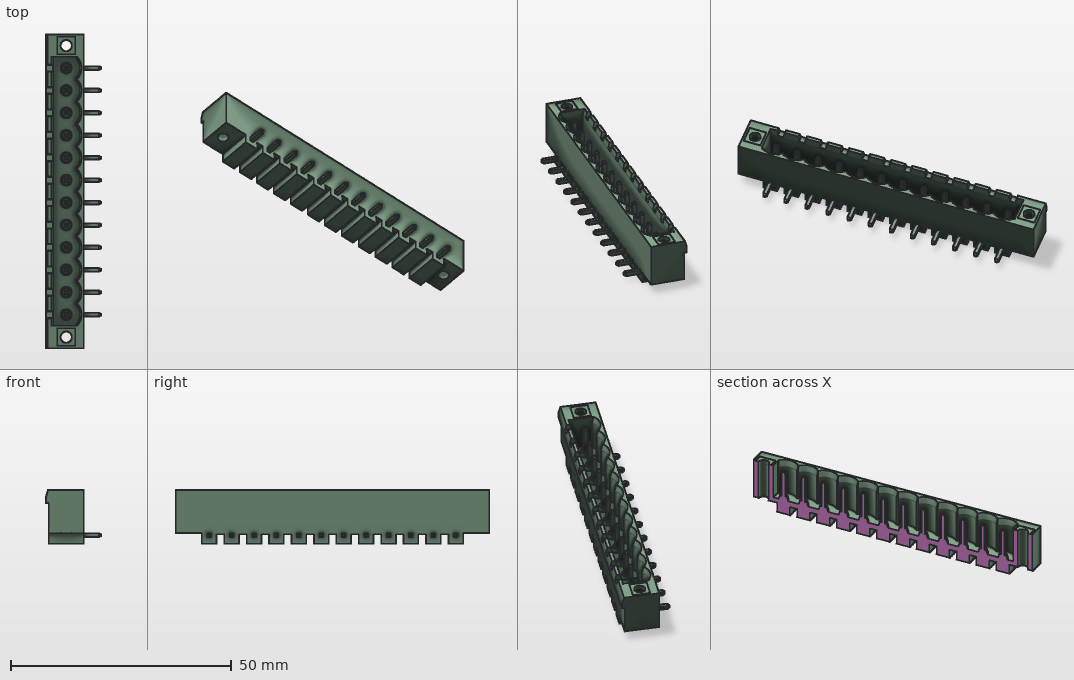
import cadquery as cq

pitch = 5.08
pin_count = 12
end_pitches = 1.5
end_margin = end_pitches * pitch
length = (pin_count - 1) * pitch + 2 * end_margin
pin_positions = [(i - (pin_count - 1) / 2) * pitch for i in range(pin_count)]

height = 12.2
body_depth = 8.0
lip_overhang = 0.6
lip_height = 3.0
lip_chamfer_width = 0.45
lip_chamfer_height = 1.5
back_x = lip_overhang + body_depth
axis_x = 4.6

end_underside_z = 2.4
foot_width = 3.4
foot_gap_roof_z = 2.15
foot_gap = pitch - foot_width

floor_z = 3.7
wall_x = 1.65
rib_offset = 2.05
rib_x = axis_x + rib_offset
socket_radius = 3.1
lead_in_width = 0.4
lead_in_height = 1.5
cavity_length = pin_count * pitch

notch_top_width = 1.75
notch_floor_width = 1.35
notch_depth = 1.3

pin_size = 0.9
pin_z = 1.95
pin_top_recess = 1.0
pin_top_z = height - pin_top_recess
pin_tip_length = 0.5
pin_tip_size = 0.4
pin_end_x = 12.5
collar_base_diameter = 2.5
collar_top_diameter = 1.9
collar_height = 1.0

screw_diameter = 2.5
screw_y = length / 2 - pitch / 2
screw_pad_size = 4.0
screw_pad_depth = 0.1


def make_housing():
    lip_z = height - lip_height
    profile = [
        (lip_overhang, 0),
        (back_x, 0),
        (back_x, height),
        (lip_chamfer_width, height),
        (0, height - lip_chamfer_height),
        (0, lip_z),
        (lip_overhang, lip_z),
    ]
    return cq.Workplane("XZ").polyline(profile).close().extrude(length / 2, both=True)


def box(x_min, x_max, y_center, y_size, z_min, z_max):
    size = (x_max - x_min, y_size, z_max - z_min)
    center = ((x_min + x_max) / 2, y_center, (z_min + z_max) / 2)
    return cq.Workplane("XY").box(*size).translate(center)


def cut_feet(body):
    feet_length = (pin_count - 1) * pitch + foot_width
    end_length = (length - feet_length) / 2
    for side in (-1, 1):
        y = side * (length - end_length) / 2
        body = body.cut(box(0, back_x, y, end_length, 0, end_underside_z))
    for pin_y in pin_positions[:-1]:
        body = body.cut(box(0, back_x, pin_y + pitch / 2, foot_gap, 0, foot_gap_roof_z))
    return body


def make_cavity():
    channel_profile = [
        (wall_x, floor_z),
        (rib_x, floor_z),
        (rib_x, height - lead_in_height),
        (rib_x + lead_in_width, height),
        (wall_x - lead_in_width, height),
        (wall_x, height - lead_in_height),
    ]
    cavity = cq.Workplane("XZ").polyline(channel_profile).close().extrude(cavity_length / 2, both=True)
    socket_profile = [
        (0, floor_z),
        (socket_radius, floor_z),
        (socket_radius, height - lead_in_height),
        (socket_radius + lead_in_width, height),
        (0, height),
    ]
    socket = cq.Workplane("XZ").polyline(socket_profile).close().revolve(360, (0, 0), (0, 1))
    socket = socket.intersect(box(0, back_x, 0, pitch, 0, height))
    for pin_y in pin_positions:
        cavity = cavity.union(socket.translate((axis_x, pin_y, 0)))
    return cavity


def make_notch():
    profile = [
        (-notch_floor_width / 2, height - notch_depth),
        (notch_floor_width / 2, height - notch_depth),
        (notch_top_width / 2, height),
        (-notch_top_width / 2, height),
    ]
    return cq.Workplane("YZ").polyline(profile).close().extrude(axis_x)


def make_collar():
    return (
        cq.Workplane("XY", origin=(axis_x, 0, floor_z))
        .circle(collar_base_diameter / 2)
        .workplane(offset=collar_height)
        .circle(collar_top_diameter / 2)
        .loft()
    )


def tapered_tip(plane):
    return (
        plane.rect(pin_size, pin_size)
        .workplane(offset=pin_tip_length)
        .rect(pin_tip_size, pin_tip_size)
        .loft()
    )


def make_pin():
    half = pin_size / 2
    shank_top_z = pin_top_z - pin_tip_length
    shank_end_x = pin_end_x - pin_tip_length
    upright = box(axis_x - half, axis_x + half, 0, pin_size, pin_z - half, shank_top_z)
    tail = box(axis_x - half, shank_end_x, 0, pin_size, pin_z - half, pin_z + half)
    top_tip = tapered_tip(cq.Workplane("XY", origin=(axis_x, 0, shank_top_z)))
    tail_tip = tapered_tip(cq.Workplane("YZ", origin=(shank_end_x, 0, pin_z)))
    return upright.union(tail).union(top_tip).union(tail_tip)


def cut_screw_flange(body, y):
    pad_floor_z = height - screw_pad_depth
    half = screw_pad_size / 2
    body = body.cut(box(axis_x - half, axis_x + half, y, screw_pad_size, pad_floor_z, height))
    hole = cq.Workplane("XY").center(axis_x, y).circle(screw_diameter / 2).extrude(height)
    return body.cut(hole)


body = cut_feet(make_housing()).cut(make_cavity())
for side in (-1, 1):
    body = cut_screw_flange(body, side * screw_y)

notch = make_notch()
contact = make_pin().union(make_collar())
for pin_y in pin_positions:
    body = body.cut(notch.translate((0, pin_y, 0)))
    body = body.union(contact.translate((0, pin_y, 0)))

result = body